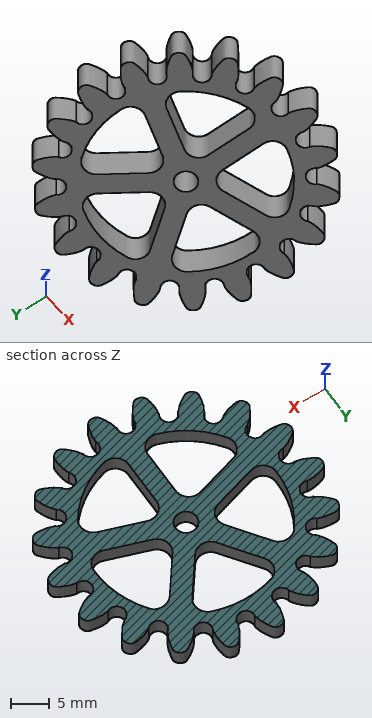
import cadquery as cq
import math

thickness = 5.0
tooth_count = 18
tip_radius = 20.0
gear_module = 2 * tip_radius / (tooth_count + 2)
pitch_radius = gear_module * tooth_count / 2
dedendum_factor = 1.25
root_radius = pitch_radius - dedendum_factor * gear_module
pressure_angle = math.radians(20)
base_radius = pitch_radius * math.cos(pressure_angle)
first_tooth_angle = 15
tip_rounding = 1.0
flank_points = 7

bore_diameter = 3.2
window_count = 5
window_outer_radius = 14.0
spoke_width = 3.0
window_corner_radius = 2.0
first_window_angle = 90


def polar(radius, angle):
    """Point at a radius and an angle in radians."""
    return (radius * math.cos(angle), radius * math.sin(angle))


def involute(radius):
    """Involute function of the pressure angle at a radius."""
    local_angle = math.acos(min(1, base_radius / radius))
    return math.tan(local_angle) - local_angle


def half_tooth_angle(radius):
    """Half the angle covered by a tooth at a radius, on its involute flank."""
    half_at_pitch = math.pi / (2 * tooth_count)
    return half_at_pitch + involute(pitch_radius) - involute(radius)


def make_blank():
    """Toothed disc: involute flanks, circular tips and round tooth gaps."""
    pitch_angle = 2 * math.pi / tooth_count
    flank_step = (tip_radius - base_radius) / (flank_points - 1)
    flank_radii = [base_radius + i * flank_step for i in range(flank_points)]

    first_center = math.radians(first_tooth_angle)
    start = polar(base_radius, first_center - half_tooth_angle(base_radius))
    outline = cq.Workplane("XY").moveTo(*start)
    for tooth in range(tooth_count):
        center = first_center + tooth * pitch_angle
        rising = [polar(r, center - half_tooth_angle(r)) for r in flank_radii]
        falling = [polar(r, center + half_tooth_angle(r)) for r in reversed(flank_radii)]
        gap_bottom = polar(root_radius, center + pitch_angle / 2)
        next_start = polar(base_radius, center + pitch_angle - half_tooth_angle(base_radius))
        outline = (
            outline.spline(rising[1:], includeCurrent=True)
            .threePointArc(polar(tip_radius, center), falling[0])
            .spline(falling[1:], includeCurrent=True)
            .threePointArc(gap_bottom, next_start)
        )
    return outline.close().extrude(thickness)


def round_tips(blank):
    """Round the two edges along each tooth tip."""
    tip_edges = blank.edges("|Z").filter(
        lambda edge: math.hypot(edge.Center().x, edge.Center().y) > (pitch_radius + tip_radius) / 2
    )
    return tip_edges.fillet(tip_rounding)


def make_window():
    """Rounded sector between two spokes, centred on the first window angle."""
    half_angle = math.pi / window_count
    center = math.radians(first_window_angle)
    apex_radius = spoke_width / 2 / math.sin(half_angle)
    corner_half_angle = half_angle - math.asin(spoke_width / 2 / window_outer_radius)
    return (
        cq.Workplane("XY")
        .moveTo(*polar(apex_radius, center))
        .lineTo(*polar(window_outer_radius, center - corner_half_angle))
        .threePointArc(
            polar(window_outer_radius, center),
            polar(window_outer_radius, center + corner_half_angle),
        )
        .close()
        .extrude(thickness)
        .edges("|Z")
        .fillet(window_corner_radius)
    )


result = round_tips(make_blank())
result = result.faces(">Z").workplane(origin=(0, 0)).hole(bore_diameter)

window = make_window()
for index in range(window_count):
    result = result.cut(window.rotate((0, 0, 0), (0, 0, 1), index * 360 / window_count))